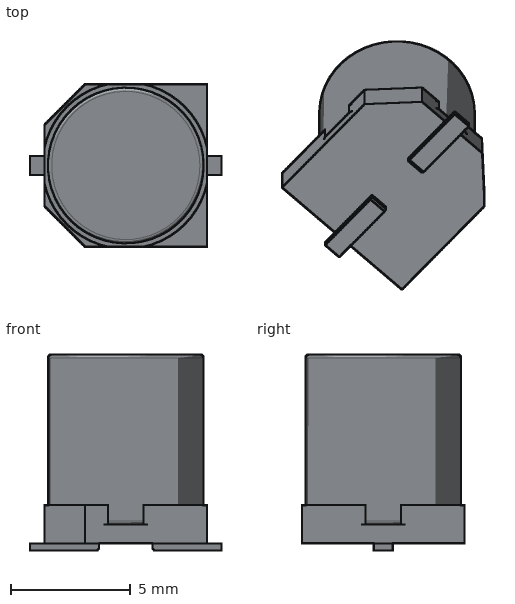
import cadquery as cq

total_height = 8.2
lead_span = 8.0

lead_width = 0.8
lead_thickness = 0.3
lead_gap = 2.21
lead_chamfer = 0.1

base_side = 6.8
base_top = 1.9
base_height = base_top - lead_thickness
corner_cut = base_side / 4

can_diameter = 6.5
can_edge_radius = 0.155
recess_diameter = 6.95
recess_floor = 1.09


def make_base():
    plate = (
        cq.Workplane("XY")
        .workplane(offset=lead_thickness)
        .rect(base_side, base_side)
        .extrude(base_height)
        .edges("|Z and <X")
        .chamfer(corner_cut)
    )
    recess = (
        cq.Workplane("XY")
        .workplane(offset=recess_floor)
        .circle(recess_diameter / 2)
        .extrude(base_top - recess_floor)
    )
    return plate.cut(recess)


def make_can():
    return (
        cq.Workplane("XY")
        .workplane(offset=recess_floor)
        .circle(can_diameter / 2)
        .extrude(total_height - recess_floor)
        .edges("%CIRCLE")
        .fillet(can_edge_radius)
    )


def make_lead(turn):
    """Flat lead on the +X side, turned about Z by the given angle in degrees."""
    length = (lead_span - lead_gap) / 2
    return (
        cq.Workplane("XY")
        .box(length, lead_width, lead_thickness, centered=(False, True, False))
        .edges("<X and <Z")
        .chamfer(lead_chamfer)
        .translate((lead_gap / 2, 0, 0))
        .rotate((0, 0, 0), (0, 0, 1), turn)
    )


base = make_base()
can = make_can()
leads = [make_lead(turn) for turn in (0, 180)]

result = cq.Compound.makeCompound([base.val(), can.val(), *[lead.val() for lead in leads]])